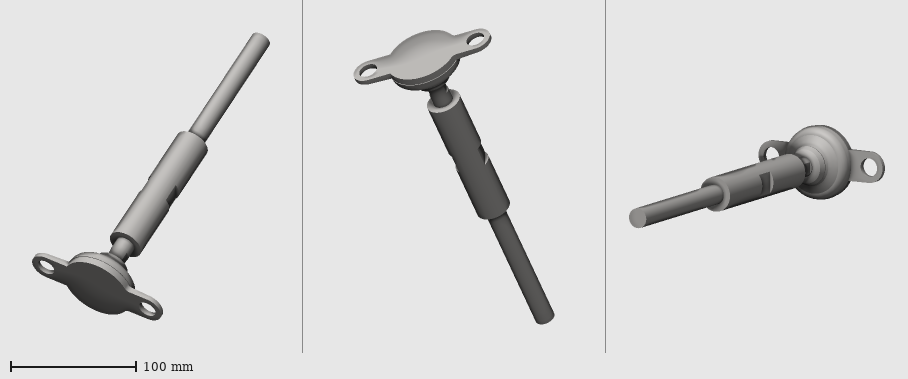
import cadquery as cq
import math

total_length = 283.0

rod_diameter = 16.0
sleeve_diameter = 28.0
sleeve_start = 49.8
sleeve_length = 115.0
sleeve_flat_start = 98.5
sleeve_flat_length = 17.0
sleeve_across_flats = 21.8
rod_flat_start = 30.5
rod_flat_length = 9.0
rod_across_flats = 13.0

foot_height = 29.1
base_radius = 29.5
lip_radius = 30.0
lip_height = 6.0
side_height = 9.0
shoulder_radius = 23.8
shoulder_height = 15.5
shoulder_bulge_radius = 27.7
shoulder_bulge_height = 13.3
waist_radius = 17.0
waist_height = 19.8
groove_radius = 15.5
groove_height = 21.5
collar_bottom_radius = 15.8
collar_bottom_height = 22.5
collar_top_radius = 14.0
collar_top_height = 27.0
cap_bulge_radius = 11.5
cap_bulge_height = 28.3
cap_rim_radius = 8.5

ear_span = 116.0
ear_width = 25.0
ear_tip_thickness = 3.7
ear_root_thickness = 5.0
ear_hole_diameter = 15.0
ear_fillet_radius = 5.0

ear_radius = ear_width / 2
ear_tip = ear_span / 2
ear_hole_offset = ear_tip - ear_radius


def cylinder_along_y(diameter, start, length):
    """Cylinder on the Y axis, from y = start."""
    base = cq.Vector(0, start, 0)
    direction = cq.Vector(0, 1, 0)
    return cq.Workplane(cq.Solid.makeCylinder(diameter / 2, length, base, direction))


def cut_wrench_flats(body, diameter, across_flats, start, length):
    """Cut two parallel flats that face -X and +X."""
    depth = (diameter - across_flats) / 2
    middle = start + length / 2
    for side in (-1, 1):
        offset = side * (across_flats + depth) / 2
        cutter = cq.Workplane().box(depth, length, diameter).translate((offset, middle, 0))
        body = body.cut(cutter)
    return body


def make_sleeve():
    """Thick sleeve with wrench flats and a through bore that fits the rod."""
    sleeve = cylinder_along_y(sleeve_diameter, sleeve_start, sleeve_length)
    sleeve = cut_wrench_flats(
        sleeve, sleeve_diameter, sleeve_across_flats, sleeve_flat_start, sleeve_flat_length
    )
    bore = cylinder_along_y(rod_diameter, sleeve_start, sleeve_length)
    return sleeve.cut(bore)


def make_rod():
    """Rod from the top of the dome to the far end, with wrench flats near the dome."""
    rod = cylinder_along_y(rod_diameter, foot_height, total_length - foot_height)
    return cut_wrench_flats(rod, rod_diameter, rod_across_flats, rod_flat_start, rod_flat_length)


def make_dome():
    """Revolved dome with a rounded shoulder, waist groove, top collar and rounded cap."""
    return (
        cq.Workplane("XY")
        .lineTo(base_radius, 0)
        .lineTo(base_radius, lip_height)
        .lineTo(lip_radius, lip_height)
        .lineTo(base_radius, side_height)
        .threePointArc((shoulder_bulge_radius, shoulder_bulge_height), (shoulder_radius, shoulder_height))
        .lineTo(waist_radius, waist_height)
        .lineTo(groove_radius, groove_height)
        .lineTo(collar_bottom_radius, collar_bottom_height)
        .lineTo(collar_top_radius, collar_top_height)
        .threePointArc((cap_bulge_radius, cap_bulge_height), (cap_rim_radius, foot_height))
        .lineTo(0, foot_height)
        .close()
        .revolve(360, (0, 0, 0), (0, 1, 0))
    )


def make_root_fillets():
    """Concave webs where the +X ear meets the base disc, above and below."""
    center_z = ear_radius + ear_fillet_radius
    center_distance = base_radius + ear_fillet_radius
    center_x = math.sqrt(center_distance**2 - center_z**2)
    disc_share = base_radius / center_distance
    disc_x = center_x * disc_share
    disc_z = center_z * disc_share
    ear_angle = -math.pi / 2
    disc_angle = math.atan2(-center_z, -center_x)
    middle_angle = (ear_angle + disc_angle) / 2
    middle_x = center_x + ear_fillet_radius * math.cos(middle_angle)
    middle_z = center_z + ear_fillet_radius * math.sin(middle_angle)
    web = (
        cq.Workplane("XZ")
        .moveTo(0, 0)
        .lineTo(center_x, 0)
        .lineTo(center_x, ear_radius)
        .threePointArc((middle_x, middle_z), (disc_x, disc_z))
        .close()
        .extrude(-ear_root_thickness)
    )
    return web.union(web.mirror("XY"))


def make_ears():
    """Two round-ended ears, thinning from the disc towards their tips."""
    outline = cq.Workplane("XZ").slot2D(ear_span, ear_width).extrude(-ear_root_thickness)
    outline = outline.union(make_root_fillets())
    taper = (
        cq.Workplane("XY")
        .moveTo(-ear_tip, 0)
        .lineTo(ear_tip, 0)
        .lineTo(ear_tip, ear_tip_thickness)
        .lineTo(base_radius, ear_root_thickness)
        .lineTo(-base_radius, ear_root_thickness)
        .lineTo(-ear_tip, ear_tip_thickness)
        .close()
        .extrude(base_radius, both=True)
    )
    return outline.intersect(taper)


def make_foot():
    """Dome, rod and ears as one body, with a mounting hole in each ear."""
    foot = make_dome().union(make_rod()).union(make_ears())
    for side in (-1, 1):
        hole = cylinder_along_y(ear_hole_diameter, 0, ear_root_thickness)
        foot = foot.cut(hole.translate((side * ear_hole_offset, 0, 0)))
    return foot


sleeve = make_sleeve()
foot = make_foot()

result = cq.Compound.makeCompound([sleeve.val(), foot.val()])